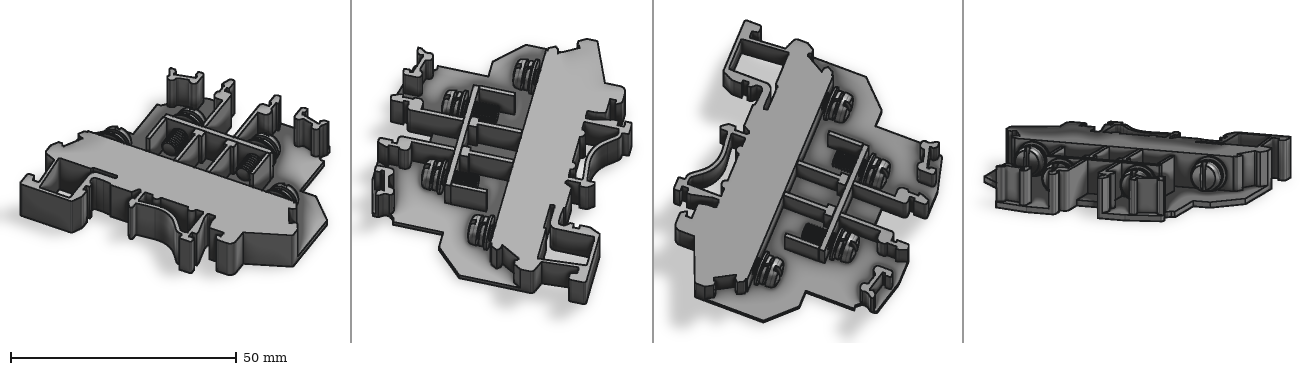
import cadquery as cq
import math

HALF_WIDTH = 31.0
TOP_Y = 53.7
DEPTH = 9.2
FLOOR = 1.3
BASE_TOP_Y = 23.15
FIT_GAP = 0.1

COINCIDENT = 6.21e-07

BAR_HALF_LENGTH = 13.4
BAR_TOP_Y = 36.6
BAR_THICKNESS = 1.3
BAR_BOTTOM_Y = BAR_TOP_Y - BAR_THICKNESS
BAR_FRONT_Z = 9.0

WALL_INNER_X = 3.55
WALL_THICKNESS = 0.9
WALL_OUTER_X = WALL_INNER_X + WALL_THICKNESS
RIB_HEAD_OVERHANG = 0.8
RIB_HEAD_LENGTH = 1.9
SIDE_WALL_OUTER_X = 13.45
SIDE_WALL_THICKNESS = 0.85
SIDE_WALL_END_Y = 27.1

CEILING_Y = 10.4
BUMP_RADIUS = 1.0
BUMP_XS = (-2.0, 6.8)

UPPER_SCREW_X = 9.3
LOWER_SCREW_X = 21.0
SCREW_AXIS_Z = 5.2
THREAD_RADIUS = 2.0
THREAD_ROOT_RADIUS = 1.7
THREAD_PITCH = 0.7
THREAD_LENGTH = 6.45
TIP_CHAMFER = 0.3
SHANK_RADIUS = 1.85
WASHER_RADIUS = 3.9
WASHER_BOTTOM = 1.2
WASHER_TOP = 1.75
SPRING_RADIUS = 3.35
SPRING_BOTTOM = 2.1
SPRING_TOP = 3.05
SPRING_GAP = 0.5
SPRING_GAP_TILT = 30
HEAD_RADIUS = 3.5
HEAD_BOTTOM = 3.65
HEAD_TOP = 6.0
HEAD_SHOULDER = (3.35, 4.65)
HEAD_ROUND_MIDDLE = (3.15, 5.2)
HEAD_CROWN_EDGE = (2.8, 5.6)
HEAD_CROWN_MIDDLE = (1.4, 5.95)
SLOT_WIDTH = 1.1
SLOT_DEPTH = 1.5


def rounded_outline(corners):
    """Closed wire through (x, y, radius) corners; radius 0 leaves a corner sharp."""
    edges = []
    starts = []
    ends = []
    count = len(corners)
    for i, (x, y, radius) in enumerate(corners):
        corner = cq.Vector(x, y)
        if radius == 0:
            starts.append(corner)
            ends.append(corner)
            continue
        to_previous = (cq.Vector(*corners[i - 1][:2]) - corner).normalized()
        to_next = (cq.Vector(*corners[(i + 1) % count][:2]) - corner).normalized()
        half_angle = to_previous.getAngle(to_next) / 2
        setback = radius / math.tan(half_angle)
        bisector = (to_previous + to_next).normalized()
        middle = corner + bisector * (radius / math.sin(half_angle) - radius)
        start = corner + to_previous * setback
        end = corner + to_next * setback
        edges.append(cq.Edge.makeThreePointArc(start, middle, end))
        starts.append(start)
        ends.append(end)
    for i in range(count):
        start = ends[i]
        end = starts[(i + 1) % count]
        if (end - start).Length > COINCIDENT:
            edges.append(cq.Edge.makeLine(start, end))
    return cq.Wire.combine(edges)[0]


def prism(corners, bottom_z, top_z):
    """Upright solid with a rounded outline."""
    face = cq.Face.makeFromWires(rounded_outline(corners))
    solid = cq.Solid.extrudeLinear(face, cq.Vector(0, 0, top_z - bottom_z))
    return cq.Workplane(solid.translate(cq.Vector(0, 0, bottom_z)))


def block(x0, x1, y0, y1, z0, z1):
    """Upright rectangular solid between two opposite corners."""
    return cq.Workplane().box(x1 - x0, y1 - y0, z1 - z0, centered=False).translate((x0, y0, z0))


SHOULDER = [
    (25.95, BASE_TOP_Y, 0),
    (25.95, 22.8, 0),
    (26.6, 22.8, 0.3),
    (27.4, 21.3, 0),
    (26.75, 20.55, 0.25),
    (25.8, 20.4, 0),
    (28.35, 16.0, 0),
    (28.85, 16.25, 0.2),
    (29.05, 16.75, 0),
    (30.0, 16.75, 0),
    (HALF_WIDTH, 15.0, 0),
]

UNDERSIDE = [
    (HALF_WIDTH, 12.6, 0.55),
    (20.8, 8.4, 0),
    (20.8, 3.4, 1.5),
    (16.7, 3.4, 0.6),
    (15.75, 4.9, 0.2),
    (17.0, 4.9, 0),
    (17.0, 6.25, 0),
    (13.3, 6.25, 0.3),
    (12.8, 8.5, 0),
    (12.8, CEILING_Y, 0.3),
    (10.8, CEILING_Y, 0.3),
    (10.8, 8.8, 0),
    (11.9, 4.0, 0),
    (11.9, 3.05, 0),
    (10.75, 3.05, 0),
    (10.75, 1.55, 0),
    (12.1, 1.55, 0),
    (12.1, 0, 0.4),
    (9.0, 0, 0.3),
    (9.0, 1.55, 0.3),
    (7.7, 1.55, 1.85),
    (3.2, 7.1, 6.8),
    (-4.95, 6.15, 0.25),
    (-4.95, 4.3, 0.3),
    (-5.65, 4.3, 0.25),
    (-6.75, 5.7, 0.9),
    (-6.75, 7.5, 0.25),
    (-5.95, 7.5, 0),
    (-5.95, CEILING_Y, 0.4),
    (-6.65, 10.8, 0.25),
    (-7.6, 9.05, 0),
    (-12.9, 9.05, 0),
    (-13.15, 9.45, 0),
    (-15.0, 9.7, 0),
    (-17.55, 9.7, 0.75),
    (-17.55, 8.1, 0.25),
    (-16.6, 7.15, 0),
    (-16.6, 6.25, 0),
    (-17.55, 6.25, 0),
    (-17.55, 4.9, 0),
    (-16.6, 4.9, 0),
    (-16.6, 2.6, 1.85),
    (-17.9, 0, 0.3),
    (-HALF_WIDTH, 0, 0.6),
    (-HALF_WIDTH, 4.05, 0.55),
    (-29.35, 4.05, 0.5),
    (-29.05, 2.5, 0.3),
    (-27.4, 2.5, 0.3),
    (-28.0, 10.85, 0),
    (-HALF_WIDTH, 12.1, 0.9),
]

FOOT_OPENING = [
    (-27.35, 12.0, 0.25),
    (-19.35, 12.0, 0),
    (-19.05, 12.55, 0),
    (-12.95, 12.55, 0.25),
    (-12.95, 11.55, 0.25),
    (-18.85, 11.55, 1.6),
    (-18.85, 0.9, 0.45),
    (-26.5, 0.9, 0.3),
]

SPRING_OPENING = [
    (-4.95, CEILING_Y, 0.25),
    (9.8, CEILING_Y, 0.25),
    (9.8, 2.4, 0.3),
    (8.2, 2.4, 1.25),
    (3.65, 8.1, 7.75),
    (-4.95, 7.15, 0.3),
]

FLOOR_START_Y = 13.65
FLOOR_LEFT_HALF = [
    (-HALF_WIDTH, FLOOR_START_Y, 0),
    (-HALF_WIDTH, 29.0, 0),
    (-24.95, 35.1, 0),
    (-21.0, 35.1, 0),
    (-21.0, 46.65, 0),
    (-20.1, 46.65, 0),
    (-18.55, 48.35, 1.6),
    (-19.85, 50.2, 0),
    (-19.85, 51.55, 0.5),
    (-11.65, TOP_Y, 0),
    (-5.0, TOP_Y, 0.6),
    (-5.0, 50.65, 0),
    (-5.6, 50.65, 0),
    (-5.6, 49.5, 0),
    (-WALL_INNER_X, 49.5, 0.85),
    (-WALL_INNER_X, 43.6, 0),
    (0, 43.6, 0),
    (0, FLOOR_START_Y, 0),
]

LATCH_WALL = [
    (-6.3, TOP_Y, 0),
    (-WALL_INNER_X, TOP_Y, 0),
    (-WALL_INNER_X, BAR_TOP_Y, 0),
    (-WALL_OUTER_X, BAR_TOP_Y, 0),
    (-WALL_OUTER_X, 46.35, 0),
    (-7.0, 46.35, 1.1),
    (-6.95, 48.45, 0.3),
    (-6.5, 48.85, 0),
    (-6.5, 51.1, 0),
    (-7.15, 51.1, 0),
    (-7.0, 51.9, 0),
]

MARKER_HOLDER = [
    (-20.5, 48.35, 0),
    (-20.5, 50.9, 0),
    (-18.75, 50.9, 0.3),
    (-18.05, 50.15, 0.2),
    (-18.35, 49.2, 0.2),
    (-13.35, 50.5, 0),
    (-13.3, 51.05, 0),
    (-13.8, 51.3, 0),
    (-13.8, 52.6, 0.25),
    (-12.2, 52.6, 0.6),
    (-12.2, 48.35, 0.9),
    (-13.6, 48.35, 0.5),
    (-14.4, 49.15, 0.2),
    (-17.05, 48.45, 0.4),
    (-17.2, 47.1, 0.85),
    (-19.1, 47.1, 0.85),
    (-19.1, 48.35, 0),
]


def mirrored_pair(part):
    """A left-hand part together with its mirror image across X = 0."""
    return part.union(part.mirror("YZ"))


def base():
    """Full-depth block with the rail foot and the curved rail spring."""
    left_shoulder = [(-x, y, radius) for x, y, radius in reversed(SHOULDER)]
    body = prism(SHOULDER + UNDERSIDE + left_shoulder, 0, DEPTH)
    body = body.cut(prism(FOOT_OPENING, 0, DEPTH))
    body = body.cut(prism(SPRING_OPENING, 0, DEPTH))
    for x in BUMP_XS:
        bump = cq.Workplane().center(x, CEILING_Y).circle(BUMP_RADIUS).extrude(DEPTH)
        body = body.union(bump)
    return body


def divider_rib():
    """Left T-shaped rib below the conductor bar."""
    top_y = BAR_BOTTOM_Y - FIT_GAP
    web = block(-WALL_OUTER_X, -WALL_INNER_X, BASE_TOP_Y + FIT_GAP, top_y, FLOOR, DEPTH)
    head = block(
        -WALL_OUTER_X - RIB_HEAD_OVERHANG,
        -WALL_INNER_X + RIB_HEAD_OVERHANG,
        top_y - RIB_HEAD_LENGTH,
        top_y,
        FLOOR,
        DEPTH,
    )
    return web.union(head)


def side_wall():
    """Left end wall of the space below the conductor bar."""
    return block(
        -SIDE_WALL_OUTER_X,
        -SIDE_WALL_OUTER_X + SIDE_WALL_THICKNESS,
        SIDE_WALL_END_Y,
        BAR_BOTTOM_Y - FIT_GAP,
        FLOOR,
        DEPTH,
    )


def screw_hole(x, face_y):
    """Hole that takes the threaded end of a screw driven into the face at face_y."""
    hole = cq.Solid.makeCylinder(
        THREAD_RADIUS,
        THREAD_LENGTH,
        cq.Vector(x, face_y, SCREW_AXIS_Z),
        cq.Vector(0, -1, 0),
    )
    return cq.Workplane(hole)


def upright_on_floor(corners):
    """Left-hand upright that rises from the floor and ends flush with the floor's edge."""
    return prism(corners, FLOOR, DEPTH).intersect(prism(FLOOR_LEFT_HALF, FLOOR, DEPTH))


def make_housing():
    body = base()
    body = body.union(mirrored_pair(prism(FLOOR_LEFT_HALF, 0, FLOOR)))
    body = body.union(mirrored_pair(upright_on_floor(LATCH_WALL)))
    body = body.union(mirrored_pair(upright_on_floor(MARKER_HOLDER)))
    body = body.union(mirrored_pair(divider_rib()))
    body = body.union(mirrored_pair(side_wall()))
    for x in (-LOWER_SCREW_X, LOWER_SCREW_X):
        body = body.cut(screw_hole(x, BASE_TOP_Y))
    return body


def make_conductor_bar():
    bar = block(-BAR_HALF_LENGTH, BAR_HALF_LENGTH, BAR_BOTTOM_Y, BAR_TOP_Y, FLOOR, BAR_FRONT_Z)
    for x in (-UPPER_SCREW_X, UPPER_SCREW_X):
        bar = bar.cut(screw_hole(x, BAR_TOP_Y))
    return bar


def screw_profile():
    """Half section of a screw and its flat washer, with ring grooves for the thread."""
    profile = (
        cq.Workplane()
        .moveTo(0, -THREAD_LENGTH)
        .lineTo(THREAD_RADIUS - TIP_CHAMFER, -THREAD_LENGTH)
        .lineTo(THREAD_RADIUS, -THREAD_LENGTH + TIP_CHAMFER)
    )
    first_crest = -THREAD_LENGTH + TIP_CHAMFER
    for i in range(int((WASHER_BOTTOM - first_crest) / THREAD_PITCH)):
        crest = first_crest + i * THREAD_PITCH
        profile = profile.lineTo(THREAD_ROOT_RADIUS, crest + THREAD_PITCH / 2)
        profile = profile.lineTo(THREAD_RADIUS, crest + THREAD_PITCH)
    return (
        profile.lineTo(THREAD_ROOT_RADIUS, WASHER_BOTTOM)
        .lineTo(WASHER_RADIUS, WASHER_BOTTOM)
        .lineTo(WASHER_RADIUS, WASHER_TOP)
        .lineTo(SHANK_RADIUS, WASHER_TOP)
        .lineTo(SHANK_RADIUS, HEAD_BOTTOM)
        .lineTo(HEAD_RADIUS, HEAD_BOTTOM)
        .lineTo(*HEAD_SHOULDER)
        .threePointArc(HEAD_ROUND_MIDDLE, HEAD_CROWN_EDGE)
        .threePointArc(HEAD_CROWN_MIDDLE, (0, HEAD_TOP))
        .close()
    )


def spring_washer():
    """Split ring around the shank, open toward +Z with a slanted gap."""
    height = SPRING_TOP - SPRING_BOTTOM
    ring = (
        cq.Workplane("XZ", origin=(0, SPRING_TOP, 0))
        .circle(SPRING_RADIUS)
        .circle(SHANK_RADIUS)
        .extrude(height)
    )
    gap = (
        cq.Workplane()
        .box(SPRING_GAP, 3 * height, SPRING_RADIUS, centered=(True, True, False))
        .rotate((0, 0, 0), (0, 0, 1), SPRING_GAP_TILT)
        .translate((0, (SPRING_TOP + SPRING_BOTTOM) / 2, 0))
    )
    return ring.cut(gap)


def make_screw(x, face_y):
    body = screw_profile().revolve(360, (0, 0, 0), (0, 1, 0))
    body = body.union(spring_washer())
    slot = cq.Workplane().box(SLOT_WIDTH, 2 * SLOT_DEPTH, 2 * HEAD_RADIUS)
    body = body.cut(slot.translate((0, HEAD_TOP, 0)))
    return body.translate((x, face_y, SCREW_AXIS_Z))


housing = make_housing()
conductor_bar = make_conductor_bar()
screws = []
for side in (-1, 1):
    screws.append(make_screw(side * UPPER_SCREW_X, BAR_TOP_Y).solids().val())
    screws.append(make_screw(side * LOWER_SCREW_X, BASE_TOP_Y).solids().val())

result = cq.Compound.makeCompound([housing.solids().val(), conductor_bar.solids().val(), *screws])